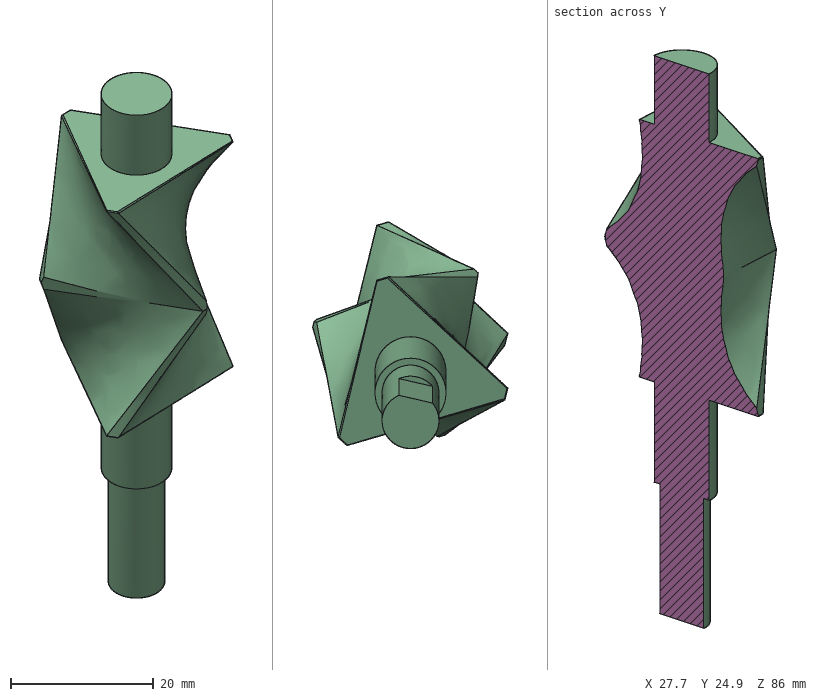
import cadquery as cq
import math

total_length = 86.0
shaft_diameter = 10.0
stub_diameter = 8.0
stub_length = 20.0
flat_length = 12.0
flat_offset = 3.2

body_bottom = 35.5
body_height = 39.9
body_middle = body_bottom + body_height / 2
body_top = body_bottom + body_height
tip_radius = 13.9
tip_half_width = 0.9
rim_chamfer = 0.2
twist = 60.0

bevel_depth = 0.8
bevel_end_ratio = 2 / 3
bevel_overrun = 0.4
bevel_reach = 1.7
bevel_height = 2.4


def triangle_points(turn, height):
    """Corners of a blunt-tipped triangle, two per tip, counterclockwise."""
    corner_radius = math.hypot(tip_radius, tip_half_width)
    half_angle = math.degrees(math.atan2(tip_half_width, tip_radius))
    points = []
    for tip_angle in (60, 180, 300):
        for side in (-half_angle, half_angle):
            angle = math.radians(tip_angle + turn + side)
            points.append(cq.Vector(corner_radius * math.cos(angle), corner_radius * math.sin(angle), height))
    return points


def twisted_section(lower, upper):
    """Solid with straight rulings between matching corners of two outlines."""
    lower_edges = [cq.Edge.makeLine(a, b) for a, b in zip(lower, lower[1:] + lower[:1])]
    upper_edges = [cq.Edge.makeLine(a, b) for a, b in zip(upper, upper[1:] + upper[:1])]
    faces = [cq.Face.makeRuledSurface(a, b) for a, b in zip(lower_edges, upper_edges)]
    faces += [cq.Face.makeFromWires(cq.Wire.assembleEdges(edges)) for edges in (lower_edges, upper_edges)]
    return cq.Workplane(cq.Solid.makeSolid(cq.Shell.makeShell(faces)))


def bevel_cutter(start, end):
    """Upright cutter along one side, curving from its deep start out to the side."""
    along = (end - start).normalized()
    outward = cq.Vector(along.y, -along.x, 0)
    fade_point = start + (end - start) * bevel_end_ratio
    deep_point = start - along * bevel_overrun - outward * bevel_depth
    arc_middle = (fade_point + start - along * bevel_overrun) * 0.5 - outward * (bevel_depth / 4)
    outer_point = deep_point + outward * bevel_reach
    return (
        cq.Workplane("XY", origin=(0, 0, body_middle - bevel_height / 2))
        .moveTo(fade_point.x, fade_point.y)
        .threePointArc((arc_middle.x, arc_middle.y), (deep_point.x, deep_point.y))
        .lineTo(outer_point.x, outer_point.y)
        .close()
        .extrude(bevel_height)
    )


middle_outline = triangle_points(twist, body_middle)
lower_half = twisted_section(triangle_points(0, body_bottom), middle_outline)
upper_half = twisted_section(middle_outline, triangle_points(0, body_top))
body = lower_half.union(upper_half)
body = body.faces("<Z or >Z").edges().chamfer(rim_chamfer)
for index in (1, 3, 5):
    body = body.cut(bevel_cutter(middle_outline[index], middle_outline[(index + 1) % len(middle_outline)]))

shaft = (
    cq.Workplane("XY", origin=(0, 0, stub_length))
    .circle(shaft_diameter / 2)
    .extrude(total_length - stub_length)
)
stub = cq.Workplane("XY").circle(stub_diameter / 2).extrude(stub_length)
flat_cutter = (
    cq.Workplane("XY", origin=(0, flat_offset, 0))
    .box(stub_diameter, stub_diameter, flat_length, centered=(True, False, False))
)

result = body.union(shaft).union(stub.cut(flat_cutter))